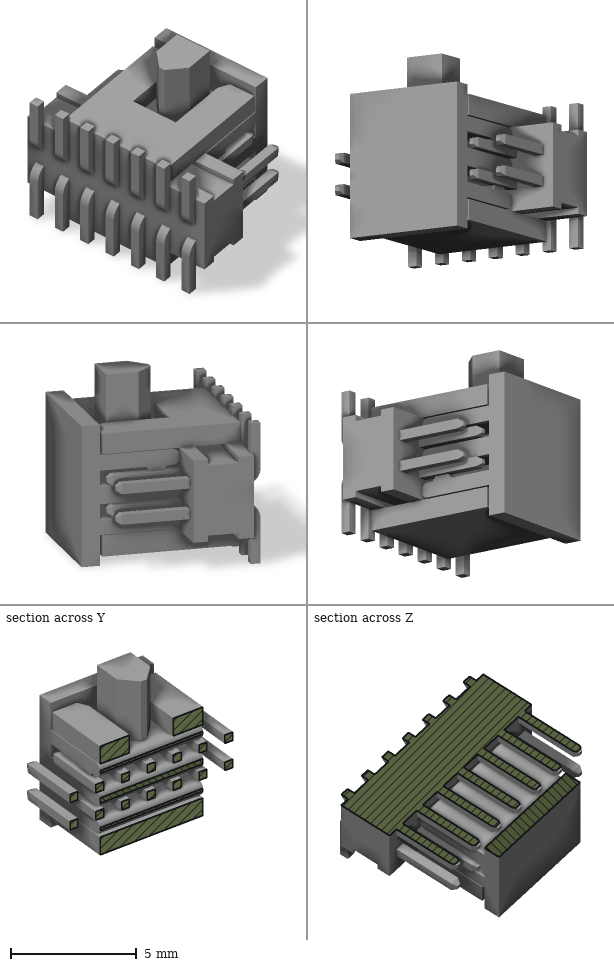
import cadquery as cq


LENGTH = 8.89
COLUMNS = 7
PITCH = LENGTH / COLUMNS
ROW_Z = PITCH / 2

BLOCK_DEPTH = 2.51
BLOCK_HEIGHT = 3.405
GROOVE_WIDTH = PITCH
GROOVE_DEPTH = 0.25
PLATE_WIDTH = 4 * PITCH
PLATE_DEPTH = 5.71
PLATE_THICKNESS = 0.845
SLOT_WIDTH = 2.15
SLOT_MOUTH_WIDTH = 2.68
SLOT_MOUTH_DEPTH = 0.49

PIN_SIZE = 0.41
PIN_END_Y = 5.55
PIN_TAPER = 0.21
PIN_TIP_SIZE = 0.18
BEND_HEIGHT = 0.605
LEG_END_Z = 2.92

BACK_START_Y = 5.82
BACK_END_Y = 6.58
BACK_HEIGHT = 2 * LEG_END_Z
MIDDLE_ARM_THICKNESS = 0.74
OUTER_ARM_THICKNESS = 0.62
OUTER_ARM_TOP_Z = 1.645
ARM_TIP_RADIUS = 0.25
RIDGE_CENTER_Y = 3.47
RIDGE_BASE_WIDTH = 0.91
RIDGE_CREST_WIDTH = 0.62
PEG_WIDTH = 1.65
PEG_START_Y = 3.005
PEG_SHOULDER_Y = 3.72
PEG_END_Y = 5.05
PEG_TIP_WIDTH = 0.28
PEG_TOP_Z = 4.45


def box(width, y_start, y_end, z_start, z_end):
    """Block centred on X = 0 between the given Y and Z limits."""
    return cq.Workplane("XY").box(
        width, y_end - y_start, z_end - z_start, centered=(True, False, False)
    ).translate((0, y_start, z_start))


def extrude_along_x(profile, width):
    """Extrude a profile drawn in the YZ plane to both sides of X = 0."""
    return profile.extrude(width / 2, both=True)


def make_pin():
    """Pin of the upper row at X = 0: tapered tip, straight run, rounded corner and upright leg."""
    bottom = ROW_Z - PIN_SIZE / 2
    top = ROW_Z + PIN_SIZE / 2
    taper_start = PIN_END_Y - PIN_TAPER
    profile = (
        cq.Workplane("YZ")
        .moveTo(taper_start, bottom)
        .lineTo(taper_start, top)
        .lineTo(0, top)
        .lineTo(0, LEG_END_Z)
        .lineTo(-PIN_SIZE, LEG_END_Z)
        .lineTo(-PIN_SIZE, bottom + BEND_HEIGHT)
        .tangentArcPoint((0, bottom), relative=False)
        .close()
    )
    tip = (
        cq.Workplane("XZ", origin=(0, taper_start, ROW_Z))
        .rect(PIN_SIZE, PIN_SIZE)
        .workplane(offset=-PIN_TAPER)
        .rect(PIN_TIP_SIZE, PIN_TIP_SIZE)
        .loft()
    )
    return extrude_along_x(profile, PIN_SIZE).union(tip)


def make_guide_slot():
    """Cutter for the slot in the upper plate, flaring to a wider mouth at the free edge."""
    flare_start = PLATE_DEPTH - SLOT_MOUTH_DEPTH
    return (
        cq.Workplane("XY", origin=(0, 0, BLOCK_HEIGHT / 2))
        .moveTo(-SLOT_WIDTH / 2, BLOCK_DEPTH)
        .lineTo(SLOT_WIDTH / 2, BLOCK_DEPTH)
        .lineTo(SLOT_WIDTH / 2, flare_start)
        .lineTo(SLOT_MOUTH_WIDTH / 2, PLATE_DEPTH)
        .lineTo(-SLOT_MOUTH_WIDTH / 2, PLATE_DEPTH)
        .lineTo(-SLOT_WIDTH / 2, flare_start)
        .close()
        .extrude(PLATE_THICKNESS)
    )


def make_header():
    """Grooved block with guide plates above and below and two rows of pins through it."""
    half_height = BLOCK_HEIGHT / 2
    outer_z = half_height + PLATE_THICKNESS
    groove_start = (BLOCK_DEPTH - GROOVE_WIDTH) / 2
    groove_end = groove_start + GROOVE_WIDTH
    groove_floor = half_height - GROOVE_DEPTH

    header = box(LENGTH, 0, BLOCK_DEPTH, -half_height, half_height)
    header = header.cut(box(LENGTH, groove_start, groove_end, groove_floor, half_height))
    header = header.cut(box(LENGTH, groove_start, groove_end, -half_height, -groove_floor))
    header = header.union(box(PLATE_WIDTH, 0, PLATE_DEPTH, half_height, outer_z))
    header = header.union(box(PLATE_WIDTH, 0, PLATE_DEPTH, -outer_z, -half_height))
    header = header.cut(make_guide_slot())

    upper_pin = make_pin()
    lower_pin = upper_pin.mirror("XY")
    for column in range(COLUMNS):
        x = (column - (COLUMNS - 1) / 2) * PITCH
        header = header.union(upper_pin.translate((x, 0, 0)))
        header = header.union(lower_pin.translate((x, 0, 0)))
    return header


def make_arm(z_start, z_end):
    """Arm reaching from the back plate to the header block, with a rounded tip."""
    arm = box(PLATE_WIDTH, BLOCK_DEPTH, BACK_START_Y, z_start, z_end)
    return arm.faces("<Y").edges("|X").fillet(ARM_TIP_RADIUS)


def make_ridge():
    """Contact ridge under the upper arm, resting on top of the upper pins."""
    crest_z = ROW_Z + PIN_SIZE / 2
    base_z = OUTER_ARM_TOP_Z - OUTER_ARM_THICKNESS
    profile = (
        cq.Workplane("YZ")
        .moveTo(RIDGE_CENTER_Y - RIDGE_BASE_WIDTH / 2, base_z)
        .lineTo(RIDGE_CENTER_Y - RIDGE_CREST_WIDTH / 2, crest_z)
        .lineTo(RIDGE_CENTER_Y + RIDGE_CREST_WIDTH / 2, crest_z)
        .lineTo(RIDGE_CENTER_Y + RIDGE_BASE_WIDTH / 2, base_z)
        .close()
    )
    return extrude_along_x(profile, PLATE_WIDTH)


def make_peg():
    """Upright peg on the upper arm, pointed toward -Y, rising through the guide slot."""
    return (
        cq.Workplane("XY", origin=(0, 0, OUTER_ARM_TOP_Z))
        .moveTo(-PEG_WIDTH / 2, PEG_END_Y)
        .lineTo(-PEG_WIDTH / 2, PEG_SHOULDER_Y)
        .lineTo(-PEG_TIP_WIDTH / 2, PEG_START_Y)
        .lineTo(PEG_TIP_WIDTH / 2, PEG_START_Y)
        .lineTo(PEG_WIDTH / 2, PEG_SHOULDER_Y)
        .lineTo(PEG_WIDTH / 2, PEG_END_Y)
        .close()
        .extrude(PEG_TOP_Z - OUTER_ARM_TOP_Z)
    )


def make_slider():
    """Back plate carrying three arms, two contact ridges and the peg."""
    upper_arm = make_arm(OUTER_ARM_TOP_Z - OUTER_ARM_THICKNESS, OUTER_ARM_TOP_Z).union(make_ridge())
    slider = box(PLATE_WIDTH, BACK_START_Y, BACK_END_Y, -BACK_HEIGHT / 2, BACK_HEIGHT / 2)
    slider = slider.union(make_arm(-MIDDLE_ARM_THICKNESS / 2, MIDDLE_ARM_THICKNESS / 2))
    slider = slider.union(upper_arm)
    slider = slider.union(upper_arm.mirror("XY"))
    return slider.union(make_peg())


header = make_header()
slider = make_slider()

result = cq.Compound.makeCompound([header.val(), slider.val()])